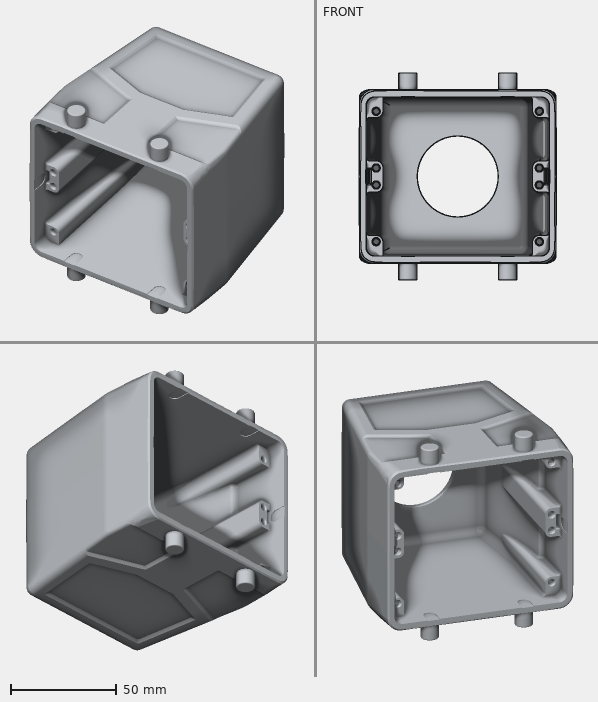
import cadquery as cq
import math

LENGTH = 94.0
HALF_WIDTH = 47.0
HALF_HEIGHT = 41.4
DRAFT = 0.3
SIDE_ANGLE = 8.1
BEND_START = 28.4
BEND_RADIUS = 19.7
EDGE_RADIUS = 3.9
MIDWAY_RADIUS = 4.9
MOUTH_RADIUS = 7.1
RIM_CHAMFER = 0.8
CABLE_HOLE_DIAMETER = 38.4

MOUTH_HALF_WIDTH = 43.6
MOUTH_HALF_HEIGHT = 37.8
FLOOR_Y = 90.6
FLOOR_HALF_HEIGHT = 37.0
WALL_KNEE_X = 42.8
FLOOR_LEFT_X = 36.1
FLOOR_RIGHT_X = 33.1
STEP_START_Y = 30.9
STEP_END_Y = 32.7
STEP_START_X = 42.9
STEP_END_X = 40.8
STEP_RADIUS = 1.6
CAVITY_RADIUS = 3.9

POST_FRONT_Y = 8.9
POST_INNER_X = 35.7
POST_RADIUS = 2.9
CORNER_POST_Z = 28.1
MID_POST_HALF_Z = 7.4
POST_BASE_RADIUS = 1.5
SCREW_X = 38.8
CORNER_SCREW_Z = 31.0
MID_SCREW_Z = 4.0
SCREW_DIAMETER = 3.0
SCREW_MOUTH_DIAMETER = 3.9
SCREW_DEPTH = 11.8
NOTCH_INNER_X = 41.1
NOTCH_OUTER_X = 43.2
NOTCH_HALF_Z = 3.9
NOTCH_DEPTH = 5.9
NOTCH_TAPER = 8.0

PIN_X = 23.7
PIN_Y = 6.0
PIN_DIAMETER = 8.9
PIN_TIP_Z = 49.25
PIN_TIP_RADIUS = 0.6
GROOVE_WIDTH = 6.1
GROOVE_DEPTH = 0.3
SIDE_GROOVE_DEPTH = 0.2
PIN_GROOVE_END_Y = 8.9
SIDE_GROOVE_END_Y = 8.9

PANEL_DEPTH = 1.1
PANEL_WALL_TAPER = 57.0
PANEL_INNER_X = 12.4
PANEL_SLANT = 20.0
UPPER_FRONT_Y = 43.1
UPPER_BACK_Y = 86.5
UPPER_SIDE_X = 35.8
UPPER_BACK_X = 31.3
UPPER_CORNER_RADIUS = 2.0
PANEL_CORNER_RADIUS = 0.5
PANEL_SIDE_RADIUS = 2.0
LOWER_FRONT_Y = 12.9
LOWER_CORNER_Y = 37.0

OUTSIDE = 59.1
MARGIN = 0.1

side_slope = math.radians(SIDE_ANGLE)
draft_slope = math.tan(math.radians(DRAFT))
panel_slope = math.tan(math.radians(PANEL_SLANT))


def both_sides(shape, plane):
    return shape.union(shape.mirror(plane))


def within(x_range, y_range, z_range):
    """Selector for edges whose centre lies inside the given box."""
    low, high = zip(x_range, y_range, z_range)
    return cq.selectors.BoxSelector(low, high)


def rear_body():
    bend_x = HALF_WIDTH - BEND_RADIUS * (1 - math.cos(side_slope))
    bend_y = BEND_START + BEND_RADIUS * math.sin(side_slope)
    middle_x = HALF_WIDTH - BEND_RADIUS * (1 - math.cos(side_slope / 2))
    middle_y = BEND_START + BEND_RADIUS * math.sin(side_slope / 2)
    back_x = bend_x - (LENGTH - bend_y) * math.tan(side_slope)
    half = (
        cq.Workplane("XY")
        .moveTo(-HALF_WIDTH, 0)
        .lineTo(HALF_WIDTH, 0)
        .lineTo(HALF_WIDTH, BEND_START)
        .threePointArc((middle_x, middle_y), (bend_x, bend_y))
        .lineTo(back_x, LENGTH)
        .lineTo(-back_x, LENGTH)
        .lineTo(-bend_x, bend_y)
        .threePointArc((-middle_x, middle_y), (-HALF_WIDTH, BEND_START))
        .close()
        .extrude(HALF_HEIGHT, taper=DRAFT)
    )
    straight = cq.Workplane("XY").box(2 * OUTSIDE, 2 * BEND_START, 2 * OUTSIDE)
    half = half.cut(straight)
    back_corners = within(
        (-OUTSIDE, OUTSIDE), (LENGTH - EDGE_RADIUS, LENGTH), (MARGIN, HALF_HEIGHT - MARGIN))
    half = half.edges(back_corners).fillet(EDGE_RADIUS)
    half = half.faces(">Z").edges("not <Y").fillet(EDGE_RADIUS)
    return both_sides(half, "XY")


def front_section(y, corner_radius):
    edge_x = HALF_WIDTH - HALF_HEIGHT * draft_slope
    corners = [(edge_x, HALF_HEIGHT), (-edge_x, HALF_HEIGHT), (-HALF_WIDTH, 0),
               (-edge_x, -HALF_HEIGHT), (edge_x, -HALF_HEIGHT), (HALF_WIDTH, 0)]
    outline = cq.Wire.makePolygon([cq.Vector(x, y, z) for x, z in corners], close=True)
    rounded = [v for v in outline.Vertices() if abs(v.Z) > HALF_HEIGHT / 2]
    return outline.fillet2D(corner_radius, rounded)


def front_body():
    sections = [
        front_section(0, MOUTH_RADIUS),
        front_section(BEND_START / 2, MIDWAY_RADIUS),
        front_section(BEND_START, EDGE_RADIUS),
    ]
    body = cq.Workplane(cq.Solid.makeLoft(sections))
    return body.faces("<Y").edges().chamfer(RIM_CHAMFER)


def posts():
    """Posts standing on a slab behind the cavity floor, flared where they meet it."""
    corner_height = OUTSIDE - CORNER_POST_Z
    corner_z = CORNER_POST_Z + corner_height / 2
    width = OUTSIDE - POST_INNER_X
    center_x = POST_INNER_X + width / 2
    depth = OUTSIDE * 2

    def bar(z, height):
        shape = cq.Workplane("XY").box(width, depth, height)
        shape = shape.edges("<X and |Y").fillet(POST_RADIUS)
        return shape.translate((center_x, POST_FRONT_Y + depth / 2, z))

    right = bar(0, 2 * MID_POST_HALF_Z)
    for z in (-corner_z, corner_z):
        right = right.union(bar(z, corner_height))
    slab = cq.Workplane("XY").box(4 * OUTSIDE, OUTSIDE, 4 * OUTSIDE)
    shapes = both_sides(right, "YZ").union(slab.translate((0, FLOOR_Y + OUTSIDE / 2, 0)))
    at_floor = within(
        (-OUTSIDE, OUTSIDE), (FLOOR_Y - MARGIN, FLOOR_Y + MARGIN), (-OUTSIDE, OUTSIDE))
    return shapes.edges(at_floor).fillet(CAVITY_RADIUS)


def cavity():
    plan = (
        cq.Workplane("XY")
        .polyline([
            (-MOUTH_HALF_WIDTH, 0), (MOUTH_HALF_WIDTH, 0),
            (STEP_START_X, STEP_START_Y), (STEP_END_X, STEP_END_Y),
            (FLOOR_RIGHT_X, FLOOR_Y), (-FLOOR_LEFT_X, FLOOR_Y), (-WALL_KNEE_X, BEND_START),
        ])
        .close()
        .extrude(OUTSIDE, both=True)
    )
    side = (
        cq.Workplane("YZ")
        .polyline([(0, -MOUTH_HALF_HEIGHT), (0, MOUTH_HALF_HEIGHT),
                   (FLOOR_Y, FLOOR_HALF_HEIGHT), (FLOOR_Y, -FLOOR_HALF_HEIGHT)])
        .close()
        .extrude(OUTSIDE, both=True)
    )
    room = plan.intersect(side)
    near_step = within(
        (0, OUTSIDE), (STEP_START_Y - MARGIN, STEP_END_Y + MARGIN), (-MARGIN, MARGIN))
    room = room.edges(near_step).fillet(STEP_RADIUS)
    room = room.edges("not |Z").edges("not (<Y or >Y)").fillet(CAVITY_RADIUS)
    room = room.faces(">Y").edges().fillet(CAVITY_RADIUS)
    room = room.cut(posts())
    for z in (-CORNER_POST_Z, -MID_POST_HALF_Z, MID_POST_HALF_Z, CORNER_POST_Z):
        wall_edges = within(
            (-OUTSIDE, OUTSIDE), (POST_FRONT_Y + MARGIN, FLOOR_Y), (z - MARGIN, z + MARGIN))
        room = room.edges(wall_edges).edges("not |Y").fillet(POST_BASE_RADIUS)
    return room


def screw_holes():
    points = [
        (x, z)
        for x in (-SCREW_X, SCREW_X)
        for z in (-CORNER_SCREW_Z, -MID_SCREW_Z, MID_SCREW_Z, CORNER_SCREW_Z)
    ]
    start = cq.Workplane("XZ", origin=(0, POST_FRONT_Y, 0)).pushPoints(points)
    mouth_depth = (SCREW_MOUTH_DIAMETER - SCREW_DIAMETER) / 2
    mouths = start.circle(SCREW_MOUTH_DIAMETER / 2).extrude(-mouth_depth, taper=45)
    return start.circle(SCREW_DIAMETER / 2).extrude(-SCREW_DEPTH).union(mouths)


def notches():
    width = NOTCH_OUTER_X - NOTCH_INNER_X
    notch = (
        cq.Workplane("XZ", origin=(0, POST_FRONT_Y, 0))
        .center(NOTCH_INNER_X + width / 2, 0)
        .rect(width, 2 * NOTCH_HALF_Z)
        .extrude(-NOTCH_DEPTH, taper=NOTCH_TAPER)
    )
    return both_sides(notch, "YZ")


def groove(end_y, height):
    """Round-ended bar along Y from the mouth, standing on z = 0."""
    straight = end_y - GROOVE_WIDTH / 2
    return (
        cq.Workplane("XY")
        .rect(GROOVE_WIDTH, 2 * straight)
        .extrude(height)
        .union(cq.Workplane("XY").center(0, straight).circle(GROOVE_WIDTH / 2).extrude(height))
    )


def grooves():
    pin_groove = groove(PIN_GROOVE_END_Y, MOUTH_HALF_HEIGHT + GROOVE_DEPTH)
    shapes = both_sides(pin_groove.translate((PIN_X, 0, 0)), "YZ")
    shapes = both_sides(shapes, "XY")
    side_groove = groove(SIDE_GROOVE_END_Y, MOUTH_HALF_WIDTH + SIDE_GROOVE_DEPTH)
    side_groove = side_groove.rotate((0, 0, 0), (0, 1, 0), 90)
    return shapes.union(both_sides(side_groove, "YZ"))


def pins():
    base_z = (HALF_HEIGHT + MOUTH_HALF_HEIGHT + GROOVE_DEPTH) / 2
    upper = (
        cq.Workplane("XY", origin=(0, 0, base_z))
        .pushPoints([(-PIN_X, PIN_Y), (PIN_X, PIN_Y)])
        .circle(PIN_DIAMETER / 2)
        .extrude(PIN_TIP_Z - base_z)
        .faces(">Z")
        .edges()
        .fillet(PIN_TIP_RADIUS)
    )
    return both_sides(upper, "XY")


def panel(points):
    outline = cq.Workplane("XY", origin=(0, 0, HALF_HEIGHT)).polyline(points).close()
    return outline.extrude(-PANEL_DEPTH, taper=PANEL_WALL_TAPER)


def panels():
    shoulder_y = UPPER_FRONT_Y + (UPPER_SIDE_X - PANEL_INNER_X) * panel_slope
    upper = panel([
        (-PANEL_INNER_X, UPPER_FRONT_Y), (PANEL_INNER_X, UPPER_FRONT_Y),
        (UPPER_SIDE_X, shoulder_y), (UPPER_BACK_X, UPPER_BACK_Y),
        (-UPPER_BACK_X, UPPER_BACK_Y), (-UPPER_SIDE_X, shoulder_y),
    ])
    front_corner_limit = UPPER_FRONT_Y + PANEL_DEPTH * math.tan(math.radians(PANEL_WALL_TAPER))
    front_corners = within((-OUTSIDE, OUTSIDE), (0, front_corner_limit), (0, HALF_HEIGHT))
    side_corners = within((-OUTSIDE, OUTSIDE), (front_corner_limit, LENGTH), (0, HALF_HEIGHT))
    upper = upper.edges(side_corners).edges("not #Z").fillet(UPPER_CORNER_RADIUS)
    upper = upper.edges(front_corners).edges("not #Z").fillet(PANEL_CORNER_RADIUS)
    outer_y = LOWER_CORNER_Y + (OUTSIDE - PANEL_INNER_X) * panel_slope
    lower = panel([
        (PANEL_INNER_X, LOWER_FRONT_Y), (OUTSIDE, LOWER_FRONT_Y),
        (OUTSIDE, outer_y), (PANEL_INNER_X, LOWER_CORNER_Y),
    ])
    lower = lower.edges("not #Z").fillet(PANEL_CORNER_RADIUS)
    shapes = upper.union(both_sides(lower, "YZ"))
    return both_sides(shapes, "XY")


def cable_hole():
    back = cq.Workplane("XZ", origin=(0, LENGTH, 0))
    return back.circle(CABLE_HOLE_DIAMETER / 2).extrude(LENGTH / 2)


def outer_shell():
    shell = rear_body().union(front_body()).cut(panels())
    floor_z = HALF_HEIGHT - PANEL_DEPTH
    for x in (-HALF_WIDTH, HALF_WIDTH):
        for z in (-floor_z, floor_z):
            open_edges = within(
                (x - EDGE_RADIUS, x + EDGE_RADIUS),
                (LOWER_FRONT_Y + EDGE_RADIUS, LOWER_CORNER_Y + EDGE_RADIUS),
                (z - MARGIN, z + MARGIN))
            shell = shell.edges(open_edges).fillet(PANEL_SIDE_RADIUS)
    return shell


result = (
    outer_shell()
    .cut(cavity())
    .cut(cable_hole())
    .cut(screw_holes())
    .cut(notches())
    .cut(grooves())
    .union(pins())
)